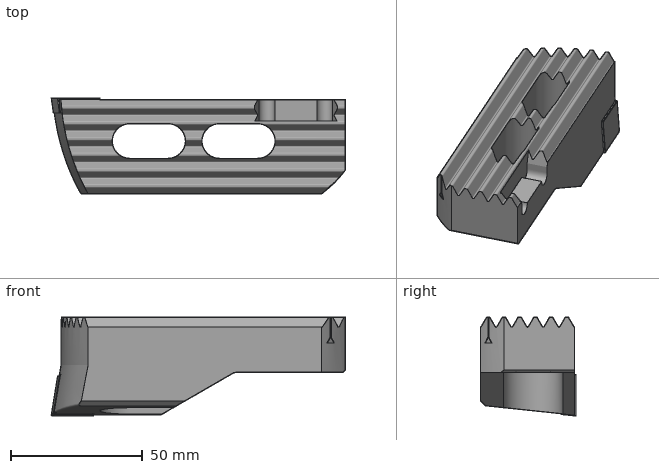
import cadquery as cq
import math

LENGTH = 111.5
HEIGHT = 37.6
TOOTH_COUNT = 6
TOOTH_PITCH = 5.97
WIDTH = TOOTH_COUNT * TOOTH_PITCH

TOOTH_DEPTH = 3.8
FLANK_ANGLE = math.radians(30)
CREST_RADIUS = 0.6
ROOT_RADIUS = 0.39

REAR_UNDERSIDE = 16.6
RAMP_END_X = 69.6
RAMP_ANGLE = math.radians(30)
RAMP_BLEND = 4.5
REAR_LOWER_CHAMFER = 0.9
UNDERSIDE_TILT = math.radians(6)
SIDE_LOWER_CHAMFER = 1.9
REAR_CORNER = 9.0
REAR_CORNER_BULGE = 0.5

NOSE_TOP_X = 3.7
NOSE_RADIUS = 82.5
NOSE_AXIS_Y = 40.1
NOSE_KINK_Z = 19.3
NOSE_RELIEF = math.radians(9.5)
NOSE_EDGE_RADIUS = 0.8

SLOT_X = (37.0, 71.0)
SLOT_Y = 20.1
SLOT_LENGTH = 27.7
SLOT_WIDTH = 13.0
HEAD_SLOT_WIDTH = 22.5

NOTCH_X = 92.8
NOTCH_REACH = 8.0
NOTCH_TOP_HALF = 15.7
NOTCH_FLOOR_HALF = 7.9
NOTCH_FLARE_DEPTH = 5.7
NOTCH_DEPTH = 8.4
RELIEF_RADIUS = 3.0

MARK_LINE_WIDTH = 0.5
MARK_LENGTH = 9.8
MARK_ARROW_WIDTH = 3.6
MARK_ARROW_HEIGHT = 2.3
MARK_DEPTH = 0.2

INSERT_PROTRUSION = 0.6
INSERT_DROP = 0.28
INSERT_DEPTH = 5.7
INSERT_LENGTH = 15.5
INSERT_TOP = 15.2
INSERT_RAKE = math.radians(9.2)
INSERT_SKEW = math.radians(7)
INSERT_EDGE_CHAMFER = 0.5
BRAZE = 0.6

INSERT_SIDE_Y = WIDTH + INSERT_PROTRUSION

MARGIN = 5.6


def insert_underside_z(y):
    """Height of the tilted underside of the insert, which is zero at its outer face."""
    return (INSERT_SIDE_Y - y) * math.tan(UNDERSIDE_TILT)


def underside_z(y):
    """Height of the tilted underside of the holder, slightly above that of the insert."""
    return insert_underside_z(y) + INSERT_DROP


def side_profile():
    """The block seen along Y: thin at the rear, deep at the front."""
    ramp_start_x = RAMP_END_X - (REAR_UNDERSIDE + MARGIN) / math.tan(RAMP_ANGLE)
    block = (
        cq.Workplane("XZ")
        .moveTo(-MARGIN, HEIGHT)
        .lineTo(LENGTH, HEIGHT)
        .lineTo(LENGTH, REAR_UNDERSIDE + REAR_LOWER_CHAMFER)
        .lineTo(LENGTH - REAR_LOWER_CHAMFER, REAR_UNDERSIDE)
        .lineTo(RAMP_END_X, REAR_UNDERSIDE)
        .lineTo(ramp_start_x, -MARGIN)
        .lineTo(-MARGIN, -MARGIN)
        .close()
        .extrude(-WIDTH)
    )
    ramp_edge = cq.selectors.NearestToPointSelector((RAMP_END_X, WIDTH / 2, REAR_UNDERSIDE))
    return block.edges(ramp_edge).fillet(RAMP_BLEND)


def end_profile():
    """The block seen along X: tilted underside and chamfered near lower edge."""
    corner_z = underside_z(SIDE_LOWER_CHAMFER)
    return (
        cq.Workplane("YZ", origin=(-MARGIN, 0, 0))
        .moveTo(0, HEIGHT)
        .lineTo(WIDTH, HEIGHT)
        .lineTo(WIDTH, underside_z(WIDTH))
        .lineTo(SIDE_LOWER_CHAMFER, corner_z)
        .lineTo(0, corner_z + SIDE_LOWER_CHAMFER)
        .close()
        .extrude(LENGTH + 2 * MARGIN)
    )


def tooth_groove(y):
    """V groove with a round root and round shoulders, running the whole length."""
    rise_y = math.cos(FLANK_ANGLE)
    rise_z = math.sin(FLANK_ANGLE)
    root_z = HEIGHT - TOOTH_DEPTH
    root_end_y = ROOT_RADIUS * rise_y
    root_end_z = root_z + ROOT_RADIUS * (1 - rise_z)
    flank_top_z = HEIGHT - CREST_RADIUS * (1 - rise_z)
    flank_top_y = root_end_y + (flank_top_z - root_end_z) * math.tan(FLANK_ANGLE)
    shoulder_y = flank_top_y + CREST_RADIUS * rise_y
    middle_angle = (FLANK_ANGLE + math.pi / 2) / 2
    middle_y = shoulder_y - CREST_RADIUS * math.cos(middle_angle)
    middle_z = HEIGHT - CREST_RADIUS * (1 - math.sin(middle_angle))
    return (
        cq.Workplane("YZ", origin=(-MARGIN, y, 0))
        .moveTo(-shoulder_y, HEIGHT)
        .threePointArc((-middle_y, middle_z), (-flank_top_y, flank_top_z))
        .lineTo(-root_end_y, root_end_z)
        .threePointArc((0, root_z), (root_end_y, root_end_z))
        .lineTo(flank_top_y, flank_top_z)
        .threePointArc((middle_y, middle_z), (shoulder_y, HEIGHT))
        .close()
        .extrude(LENGTH + 2 * MARGIN)
    )


def nose_envelope():
    """Everything behind the nose surface: a cylinder above the kink and a flaring cone below it."""
    reach_y = NOSE_AXIS_Y - WIDTH
    axis_x = NOSE_TOP_X + math.sqrt(NOSE_RADIUS**2 - reach_y**2)
    base_radius = NOSE_RADIUS + (NOSE_KINK_Z + MARGIN) * math.tan(NOSE_RELIEF)
    return (
        cq.Workplane("XZ", origin=(axis_x, NOSE_AXIS_Y, 0))
        .moveTo(0, -MARGIN)
        .lineTo(base_radius, -MARGIN)
        .lineTo(NOSE_RADIUS, NOSE_KINK_Z)
        .lineTo(NOSE_RADIUS, HEIGHT)
        .lineTo(0, HEIGHT)
        .close()
        .revolve(360, (0, 0), (0, 1))
    )


def rear_corner():
    """Piece removed from the near rear vertical corner, leaving a slightly bulging face."""
    inset = REAR_CORNER / 2 - REAR_CORNER_BULGE * math.sqrt(0.5)
    return (
        cq.Workplane("XY")
        .moveTo(LENGTH - REAR_CORNER, 0)
        .threePointArc((LENGTH - inset, inset), (LENGTH, REAR_CORNER))
        .lineTo(LENGTH, 0)
        .close()
        .extrude(HEIGHT)
    )


def clamping_slots():
    """Through slots that share one wide bolt head recess below the level of the rear underside."""
    first_x, last_x = SLOT_X
    recess_length = last_x - first_x + SLOT_LENGTH + HEAD_SLOT_WIDTH - SLOT_WIDTH
    recess = (
        cq.Workplane("XY")
        .center((first_x + last_x) / 2, SLOT_Y)
        .slot2D(recess_length, HEAD_SLOT_WIDTH)
        .extrude(REAR_UNDERSIDE)
    )
    slots = cq.Workplane("XY").pushPoints([(x, SLOT_Y) for x in SLOT_X]).slot2D(SLOT_LENGTH, SLOT_WIDTH)
    return slots.extrude(HEIGHT).union(recess)


def top_notch():
    """Notch open to the top and to the insert side, flared in its upper part."""
    floor_z = HEIGHT - NOTCH_DEPTH
    flare_z = HEIGHT - NOTCH_FLARE_DEPTH
    relief_offset = NOTCH_FLOOR_HALF + RELIEF_RADIUS
    bottom_half = NOTCH_FLOOR_HALF + 2 * RELIEF_RADIUS
    notch = (
        cq.Workplane("XZ", origin=(NOTCH_X, WIDTH, 0))
        .moveTo(-NOTCH_TOP_HALF, HEIGHT)
        .lineTo(NOTCH_TOP_HALF, HEIGHT)
        .lineTo(bottom_half, flare_z)
        .lineTo(bottom_half, floor_z)
        .threePointArc((relief_offset, floor_z - RELIEF_RADIUS), (NOTCH_FLOOR_HALF, floor_z))
        .lineTo(-NOTCH_FLOOR_HALF, floor_z)
        .threePointArc((-relief_offset, floor_z - RELIEF_RADIUS), (-bottom_half, floor_z))
        .lineTo(-bottom_half, flare_z)
        .close()
    )
    return notch.extrude(NOTCH_REACH)


def index_mark():
    """Shallow line with an arrow at its foot, below one tooth crest on the rear corner face."""
    half_chord = REAR_CORNER * math.sqrt(0.5)
    radius = (half_chord**2 + REAR_CORNER_BULGE**2) / (2 * REAR_CORNER_BULGE)
    axis_offset = (radius - REAR_CORNER_BULGE) * math.sqrt(0.5)
    axis_x = LENGTH - REAR_CORNER / 2 - axis_offset
    axis_y = REAR_CORNER / 2 + axis_offset
    out_y = (TOOTH_PITCH / 2 - axis_y) / radius
    out_x = math.sqrt(1 - out_y**2)
    face = cq.Plane(
        origin=(axis_x + radius * out_x, TOOTH_PITCH / 2, HEIGHT),
        xDir=(-out_y, out_x, 0),
        normal=(out_x, out_y, 0),
    )
    arrow_tip = MARK_LENGTH - MARK_ARROW_HEIGHT
    line = cq.Workplane(face).rect(MARK_LINE_WIDTH, 2 * arrow_tip + MARK_LINE_WIDTH)
    arrow = (
        cq.Workplane(face)
        .moveTo(0, -arrow_tip)
        .lineTo(MARK_ARROW_WIDTH / 2, -MARK_LENGTH)
        .lineTo(-MARK_ARROW_WIDTH / 2, -MARK_LENGTH)
        .close()
    )
    return line.extrude(-MARK_DEPTH).union(arrow.extrude(-MARK_DEPTH))


def insert_block(added):
    """Leaning block of the insert, grown by `added` at its top and rear, cut off by its tilted underside."""
    lean = math.tan(INSERT_RAKE)
    low = -MARGIN
    rise = INSERT_TOP + added - low
    front = (low - INSERT_EDGE_CHAMFER) * lean
    rear = INSERT_LENGTH + added + low * lean
    inner_y = INSERT_SIDE_Y - INSERT_DEPTH
    plan = cq.Wire.makePolygon(
        [
            cq.Vector(front, INSERT_SIDE_Y, low),
            cq.Vector(rear, INSERT_SIDE_Y, low),
            cq.Vector(rear, inner_y, low),
            cq.Vector(front + INSERT_DEPTH * math.tan(INSERT_SKEW), inner_y, low),
        ],
        close=True,
    )
    block = cq.Workplane(cq.Solid.extrudeLinear(plan, [], cq.Vector(rise * lean, 0, rise)))
    above_underside = (
        cq.Workplane("YZ", origin=(-MARGIN, 0, 0))
        .moveTo(0, HEIGHT)
        .lineTo(INSERT_SIDE_Y, HEIGHT)
        .lineTo(INSERT_SIDE_Y, 0)
        .lineTo(0, insert_underside_z(0))
        .close()
        .extrude(LENGTH)
    )
    return block.intersect(above_underside)


def insert_seat():
    """Block of the insert with its braze layer, round at the upper rear edge."""
    return insert_block(BRAZE).edges(">X and >Z").fillet(BRAZE)


def lower_front_edge(body, y, z):
    """The edge of a body closest to the foremost point at the given side position and height."""
    return body.edges(cq.selectors.NearestToPointSelector((0, y, z)))


def make_holder():
    holder = side_profile().intersect(end_profile()).intersect(nose_envelope())
    holder = lower_front_edge(holder, WIDTH / 2, underside_z(WIDTH / 2)).fillet(NOSE_EDGE_RADIUS)
    for index in range(TOOTH_COUNT + 1):
        holder = holder.cut(tooth_groove(index * TOOTH_PITCH))
    for removed in (rear_corner(), clamping_slots(), top_notch(), index_mark(), insert_seat()):
        holder = holder.cut(removed)
    return holder


def make_insert():
    insert = insert_block(0)
    middle_y = INSERT_SIDE_Y - INSERT_DEPTH / 2
    return lower_front_edge(insert, middle_y, insert_underside_z(middle_y)).chamfer(INSERT_EDGE_CHAMFER)


def make_braze_layer():
    return insert_seat().cut(insert_block(0)).intersect(nose_envelope())


holder = make_holder()
insert = make_insert()
braze_layer = make_braze_layer()
result = cq.Compound.makeCompound([holder.val(), insert.val(), braze_layer.val()])